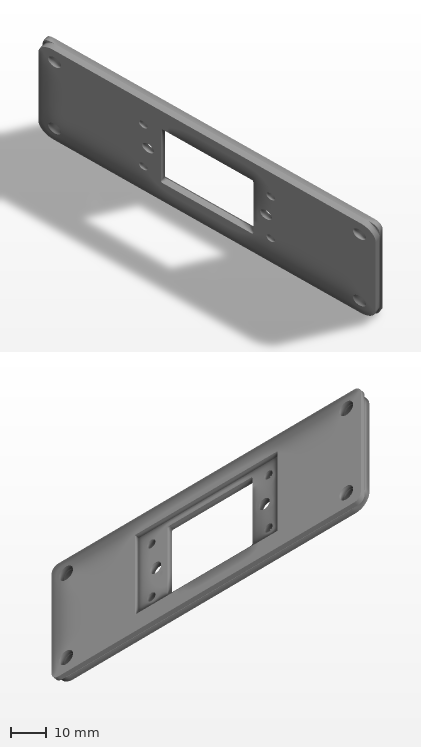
import cadquery as cq

length = 114.0
height = 43.0
thickness = 3.5
front_thickness = 1.9
back_thickness = thickness - front_thickness

front_corner_radius = 5.0
back_corner_radius = 2.5

back_inset = 0.1

window_length = 31.2
window_height = 25.8
window_corner_radius = 0.6
recess_length = 52.4
recess_height = 30.1

corner_hole_diameter = 4.5
corner_hole_back_diameter = 5.0
corner_hole_x = 51.5
corner_hole_z = 16.0
small_hole_diameter = 3.0
small_hole_x = 21.5
small_hole_z = 10.0
side_hole_diameter = 4.0
side_hole_x = 20.0


def rounded_block(block_length, block_height, corner_radius, front_y, block_thickness):
    """Centered block reaching from front_y toward +Y, with rounded corners."""
    outline = cq.Workplane("XZ", origin=(0, front_y, 0)).rect(block_length, block_height)
    return outline.extrude(-block_thickness).edges("|Y").fillet(corner_radius)


def mirrored_points(x, z):
    """Four points placed symmetrically about the plate center."""
    return [(sx * x, sz * z) for sx in (-1, 1) for sz in (-1, 1)]


def hole_cutters(points, diameter, front_y=0):
    """Cylinders from front_y to the back face at the given points."""
    centers = cq.Workplane("XZ", origin=(0, front_y, 0)).pushPoints(points)
    return centers.circle(diameter / 2).extrude(front_y - thickness)


front_layer = rounded_block(length, height, front_corner_radius, 0, front_thickness)
back_layer = rounded_block(
    length - 2 * back_inset,
    height - 2 * back_inset,
    back_corner_radius,
    front_thickness,
    back_thickness,
)
plate = front_layer.union(back_layer)

window = rounded_block(window_length, window_height, window_corner_radius, 0, front_thickness)
recess = (
    cq.Workplane("XZ", origin=(0, front_thickness, 0))
    .rect(recess_length, recess_height)
    .extrude(-back_thickness)
)
plate = plate.cut(window).cut(recess)

corner_points = mirrored_points(corner_hole_x, corner_hole_z)
corner_holes = hole_cutters(corner_points, corner_hole_diameter)
corner_back_holes = hole_cutters(corner_points, corner_hole_back_diameter, front_thickness)
small_holes = hole_cutters(mirrored_points(small_hole_x, small_hole_z), small_hole_diameter)
side_holes = hole_cutters([(-side_hole_x, 0), (side_hole_x, 0)], side_hole_diameter)

result = plate.cut(corner_holes).cut(corner_back_holes).cut(small_holes).cut(side_holes)